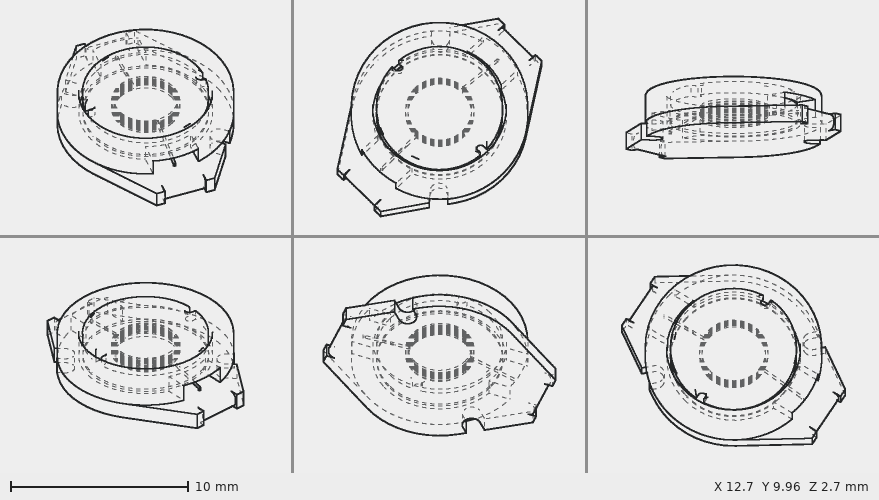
import cadquery as cq
import math


total_length = 12.7
total_height = 2.7
base_diameter = 9.96
base_height = 0.95

wing_end_width = 3.5
terminal_width = 2.49
terminal_setback = 0.13
terminal_rounding = 0.35
slot_width = 1.03
slot_angle = 45
slot_center_offset = 3.2
slot_reach = 3.0

shield_diameter = 9.95
shield_bore = 7.55
shield_fillet = 0.2
window_width = 2.74
window_top = 1.945

flange_diameter = 7.11
post_diameter = 3.6
lower_flange_thickness = 0.15
upper_flange_bottom = 2.02
flange_fillet = 0.2
wire_notch_width = 0.5
wire_notch_depth = 0.49

wire_diameter = 0.14
wire_overlap = 0.015
coil_pitch = 0.155
coil_turns = 4.5
coil_start_height = 1.22
lead_reach = 4.65
foot_height = 0.12

half_length = total_length / 2
base_radius = base_diameter / 2
flange_radius = flange_diameter / 2
wire_radius = wire_diameter / 2
coil_length = coil_pitch * coil_turns
coil_end_height = coil_start_height + coil_length
coil_radius = post_diameter / 2 + wire_radius - wire_overlap


def cylinder(diameter, bottom, top):
    return cq.Workplane("XY").workplane(offset=bottom).circle(diameter / 2).extrude(top - bottom)


def base_wings():
    """Wings whose sides run from the end corners tangent to the round base."""
    corner_y = wing_end_width / 2
    corner_distance = math.hypot(half_length, corner_y)
    tangent_angle = math.acos(base_radius / corner_distance) + math.atan2(corner_y, half_length)
    tangent_x = base_radius * math.cos(tangent_angle)
    tangent_y = base_radius * math.sin(tangent_angle)
    outline = [
        (half_length, corner_y),
        (tangent_x, tangent_y),
        (-tangent_x, tangent_y),
        (-half_length, corner_y),
        (-half_length, -corner_y),
        (-tangent_x, -tangent_y),
        (tangent_x, -tangent_y),
        (half_length, -corner_y),
    ]
    return cq.Workplane("XY").polyline(outline).close().extrude(base_height)


def diagonal_slot():
    """Round-ended slot that opens outward on the +X +Y diagonal."""
    slot_radius = slot_width / 2
    slot = (
        cq.Workplane("XY")
        .moveTo(0, -slot_radius)
        .lineTo(slot_reach, -slot_radius)
        .lineTo(slot_reach, slot_radius)
        .lineTo(0, slot_radius)
        .threePointArc((-slot_radius, 0), (0, -slot_radius))
        .close()
        .extrude(base_height)
    )
    slot = slot.rotate((0, 0, 0), (0, 0, 1), slot_angle)
    return slot.translate((slot_center_offset, slot_center_offset, 0))


def terminal_recess():
    """Cutter that leaves a rounded terminal bar set back from the +X wing end."""
    bar_end = half_length - terminal_setback
    block_length = terminal_setback + terminal_rounding
    block = (
        cq.Workplane("XY")
        .box(block_length, terminal_width, base_height, centered=(False, True, False))
        .translate((bar_end - terminal_rounding, 0, 0))
    )
    bar = (
        cq.Workplane("XY")
        .box(bar_end, terminal_width, base_height, centered=(False, True, False))
        .edges(">X and |Y")
        .fillet(terminal_rounding)
    )
    return block.cut(bar)


def make_base():
    base = cylinder(base_diameter, 0, base_height).union(base_wings())
    for cutter in (diagonal_slot(), terminal_recess()):
        for angle in (0, 180):
            base = base.cut(cutter.rotate((0, 0, 0), (0, 0, 1), angle))
    return base


def make_shield():
    """Ring rounded at its top edges, with a wire window at each end."""
    ring = cylinder(shield_diameter, base_height, total_height)
    ring = ring.cut(cylinder(shield_bore, base_height, total_height))
    ring = ring.faces(">Z").edges().fillet(shield_fillet)
    window = (
        cq.Workplane("XY")
        .workplane(offset=base_height)
        .rect(total_length, window_width)
        .extrude(window_top - base_height)
    )
    return ring.cut(window)


def wire_notch():
    """Round-ended notch through the upper flange at its +Y edge."""
    notch_radius = wire_notch_width / 2
    center_y = flange_radius - wire_notch_depth + notch_radius
    outer_y = flange_radius + wire_notch_width
    return (
        cq.Workplane("XY")
        .workplane(offset=upper_flange_bottom)
        .moveTo(notch_radius, center_y)
        .lineTo(notch_radius, outer_y)
        .lineTo(-notch_radius, outer_y)
        .lineTo(-notch_radius, center_y)
        .threePointArc((0, center_y - notch_radius), (notch_radius, center_y))
        .close()
        .extrude(total_height - upper_flange_bottom)
    )


def make_core():
    upper_flange = cylinder(flange_diameter, upper_flange_bottom, total_height)
    for angle in (0, 180):
        upper_flange = upper_flange.cut(wire_notch().rotate((0, 0, 0), (0, 0, 1), angle))
    upper_flange = upper_flange.faces(">Z").edges().fillet(flange_fillet)
    lower_flange = cylinder(flange_diameter, base_height, base_height + lower_flange_thickness)
    post = cylinder(post_diameter, base_height, total_height - flange_fillet)
    return lower_flange.union(post).union(upper_flange)


def make_coil():
    """Helical winding that starts on the -X side and ends on the +X side."""
    helix = cq.Wire.makeHelix(coil_pitch, coil_length, coil_radius)
    winding = (
        cq.Workplane("XZ")
        .center(coil_radius, 0)
        .circle(wire_radius)
        .sweep(cq.Workplane(obj=helix), isFrenet=True)
    )
    winding = winding.rotate((0, 0, 0), (0, 0, 1), 180)
    return winding.translate((0, 0, coil_start_height))


def make_lead(side, coil_height):
    """Wire that slopes down from the post along X and ends in a foot on the base."""
    start_x = side * (post_diameter / 2 - wire_radius)
    foot_x = side * (lead_reach - wire_radius)
    path = (
        cq.Workplane("XZ")
        .moveTo(start_x, coil_height)
        .lineTo(foot_x, base_height + foot_height)
        .lineTo(foot_x, base_height - wire_radius)
    )
    section = cq.Workplane("YZ", origin=(start_x, 0, coil_height)).circle(wire_radius)
    return section.sweep(path, transition="right")


result = make_base().union(make_shield()).union(make_core())
result = result.union(make_coil())
result = result.union(make_lead(-1, coil_start_height))
result = result.union(make_lead(1, coil_end_height))